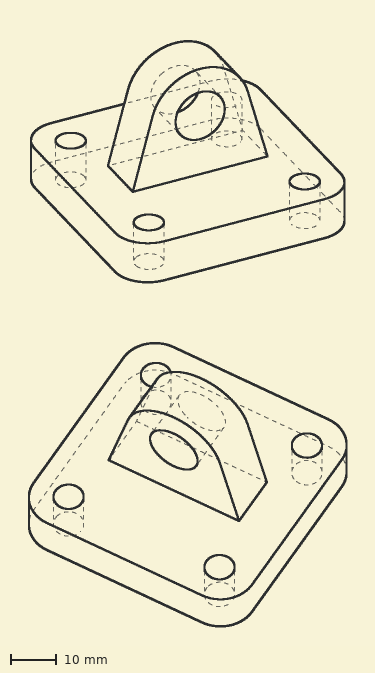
import cadquery as cq
import math

plate_side = 55.0
plate_thickness = 10.0
corner_radius = 8.0
mount_hole_diameter = 6.6
mount_hole_spacing = 38.0

total_height = 36.95
lug_width = 12.1
lug_radius = 12.0
pivot_diameter = 12.0
flank_angle = math.radians(15)
pivot_height = total_height - lug_radius


def make_plate():
    """Square plate with rounded corners and four mounting holes."""
    return (
        cq.Workplane("XY")
        .rect(plate_side, plate_side)
        .extrude(plate_thickness)
        .edges("|Z")
        .fillet(corner_radius)
        .faces(">Z")
        .workplane()
        .rect(mount_hole_spacing, mount_hole_spacing, forConstruction=True)
        .vertices()
        .hole(mount_hole_diameter)
    )


def make_lug():
    """Tapered lug whose flanks run tangent into its round top."""
    tangent_y = lug_radius * math.cos(flank_angle)
    tangent_z = pivot_height + lug_radius * math.sin(flank_angle)
    foot_y = tangent_y + (tangent_z - plate_thickness) * math.tan(flank_angle)
    body = (
        cq.Workplane("YZ")
        .moveTo(-foot_y, plate_thickness)
        .lineTo(-tangent_y, tangent_z)
        .threePointArc((0, total_height), (tangent_y, tangent_z))
        .lineTo(foot_y, plate_thickness)
        .close()
        .extrude(lug_width / 2, both=True)
    )
    pivot_hole = (
        cq.Workplane("YZ")
        .center(0, pivot_height)
        .circle(pivot_diameter / 2)
        .extrude(lug_width / 2, both=True)
    )
    return body.cut(pivot_hole)


result = make_plate().union(make_lug())